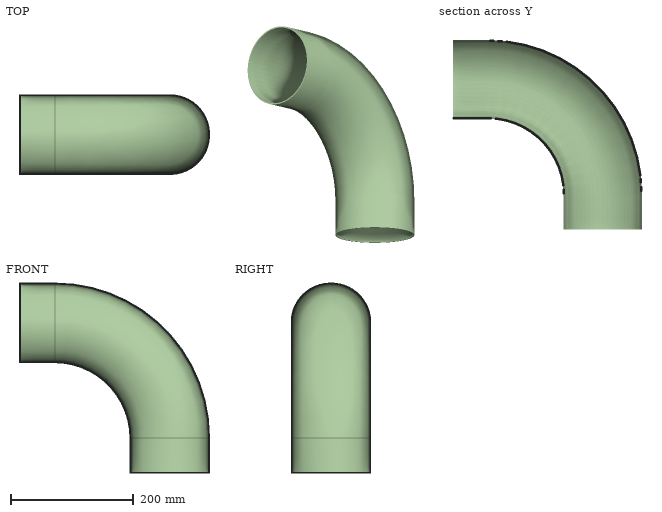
import cadquery as cq
import math

overall_size = 309.5
outer_diameter = 129.0
inner_diameter = 125.0
collar_length = 57.3

bend_radius = overall_size - collar_length - outer_diameter / 2
centreline_reach = collar_length + bend_radius
bend_midpoint_offset = bend_radius * math.sin(math.radians(45))

inlet = (0, centreline_reach)
bend_start = (collar_length, centreline_reach)
bend_middle = (collar_length + bend_midpoint_offset, collar_length + bend_midpoint_offset)
bend_end = (centreline_reach, collar_length)
outlet = (centreline_reach, 0)

centreline = (
    cq.Workplane("XZ")
    .moveTo(*inlet)
    .lineTo(*bend_start)
    .threePointArc(bend_middle, bend_end)
    .lineTo(*outlet)
)

result = (
    cq.Workplane("YZ", origin=(inlet[0], 0, inlet[1]))
    .circle(outer_diameter / 2)
    .circle(inner_diameter / 2)
    .sweep(centreline)
)